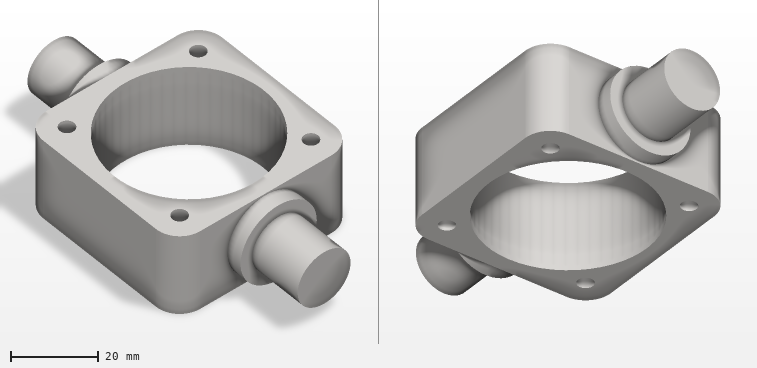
import cadquery as cq

body_side = 54.0
body_height = 24.0
bore_diameter = 45.0

hole_diameter = 4.3
hole_spacing = 39.6
corner_radius = (body_side - hole_spacing) / 2

overall_length = 95.0
pin_diameter = 16.0
collar_diameter = 23.0
collar_span = 63.1


def cross_cylinder(diameter, length):
    """Cylinder along X, centred on the origin."""
    return cq.Workplane("YZ").circle(diameter / 2).extrude(length / 2, both=True)


def bore():
    """Vertical cutter for the central opening."""
    return cq.Workplane("XY").circle(bore_diameter / 2).extrude(body_height / 2, both=True)


def mounting_holes():
    """Vertical cutters for the four corner holes."""
    return (
        cq.Workplane("XY")
        .rect(hole_spacing, hole_spacing, forConstruction=True)
        .vertices()
        .circle(hole_diameter / 2)
        .extrude(body_height / 2, both=True)
    )


body = cq.Workplane("XY").box(body_side, body_side, body_height).edges("|Z").fillet(corner_radius)
collars = cross_cylinder(collar_diameter, collar_span)
pins = cross_cylinder(pin_diameter, overall_length)

result = body.union(collars).union(pins).cut(bore()).cut(mounting_holes())